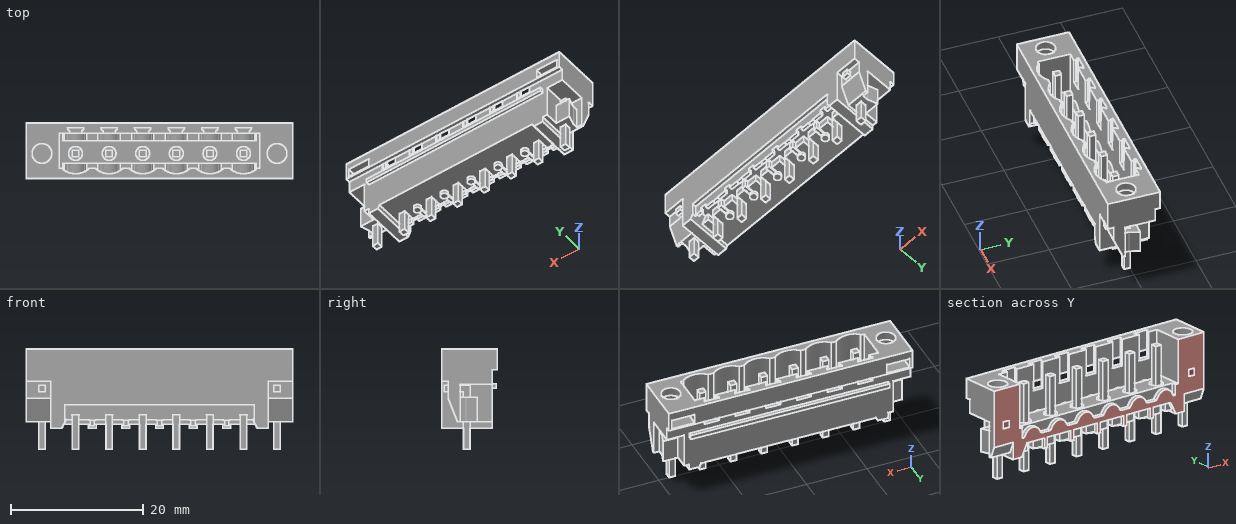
import cadquery as cq
import math


LENGTH = 40.3
DEPTH = 8.4
TOP = 15.2
POLES = 6
PITCH = 5.08
PIN_SIZE = 1.0
PIN_Y = 3.8
CONTACT_TOP = 14.2

REAR_Y = 7.65
LIP_BOTTOM = 12.0
FOOT_BOTTOM = 3.2
FLANGE_WIDTH = 3.7
FLANGE_FRONT_BOTTOM = 10.3
FLANGE_REAR_BOTTOM = 9.83
SCREW_HOLE_RADIUS = 1.5
NUT_SLOT_HALF_WIDTH = 1.9
NUT_SLOT_TOP = 13.78
NUT_SLOT_FLOOR = 12.25

BLOCK_FRONT_Y = 0.95
BLOCK_REAR_Y = 2.78
BLOCK_BOTTOM = 4.15
BLOCK_SLOPE_TOP = 7.75
BLOCK_SLOPE_Y = 2.4
BOSS_TOP = 7.9
BOSS_REAR_Y = 5.35
BOSS_BEND_Y = 3.65
BOSS_FRONT_INSET = 0.93
BOSS_REAR_INSET = 0.4
SHOULDER_INSET = 2.85

CAVITY_LENGTH = 30.35
CAVITY_FRONT_Y = 1.57
CAVITY_REAR_Y = 6.8
CAVITY_FLOOR = 8.0
SCALLOP_RADIUS = 3.05
GUTTER_LENGTH = 29.25
GUTTER_FLOOR = 6.3
RIB_FRONT_Y = 2.3
RIB_REAR_Y = 5.7
HUMP_HALF_WIDTH = 1.7
HUMP_CREST_RADIUS = 1.55
HUMP_SIDE_ANGLE = 57.0
COUNTERBORE_RADIUS = 1.05
COUNTERBORE_DEPTH = 0.5

GROOVE_NECK_WIDTH = 1.8
GROOVE_WIDTH = 2.4
GROOVE_NECK_Y = 7.13
GROOVE_FLARE_Y = 7.45
GROOVE_FLOOR = 10.9

FOOT_INSET = 5.4
FOOT_SLOPE_INSET = 6.05
FRONT_WALL_BOTTOM = 4.5
FLOOR_BOTTOM = 3.8
FLOOR_FRONT_Y = 2.2
RECESS_INSET = 5.85
RECESS_TOP = 6.73
RECESS_DEPTH = 0.65
FRONT_WALL_REAR_Y = 1.15
CHANNEL_CEILING = 5.25
POST_RADIUS = 0.6
WEB_WIDTH = 0.65
WEB_BOTTOM = 3.55
WEB_FRONT_Y = 1.65
WALL_TAB_WIDTH = 0.95
WALL_TAB_BOTTOM = 4.4

LEDGE_BOTTOM = 9.22
LEDGE_TOP = 9.95
LEDGE_REAR_Y = 8.25

END_LEG_TOP = 9.7
END_LEG_FRONT_Y = 0.35

HALF_LENGTH = LENGTH / 2
BODY_HALF = HALF_LENGTH - FLANGE_WIDTH
POLE_XS = [(i - (POLES - 1) / 2) * PITCH for i in range(POLES)]
GAP_XS = [x + PITCH / 2 for x in POLE_XS[:-1]]
END_PIN_X = (POLES + 1) / 2 * PITCH
END_PIN_XS = [-END_PIN_X, END_PIN_X]


def box(x0, x1, y0, y1, z0, z1):
    """Box between two opposite corners."""
    return cq.Workplane("XY").box(x1 - x0, y1 - y0, z1 - z0, centered=False).translate((x0, y0, z0))


def cylinder(x, y, radius, z0, z1):
    """Upright cylinder."""
    return cq.Workplane("XY").circle(radius).extrude(z1 - z0).translate((x, y, z0))


def square_pin(x, z0, z1):
    """Upright square bar on the pin line."""
    half = PIN_SIZE / 2
    return box(x - half, x + half, PIN_Y - half, PIN_Y + half, z0, z1)


def both_ends(left_part):
    """A left-end feature together with its mirror image at the right end."""
    return left_part.union(left_part.mirror("YZ"))


def outer_shell():
    """Solid outer form: body with overhanging rear lip, end flanges and rear ledge."""
    body = box(-BODY_HALF, BODY_HALF, 0, REAR_Y, FOOT_BOTTOM, TOP)
    lip = box(-HALF_LENGTH, HALF_LENGTH, 0, DEPTH, LIP_BOTTOM, TOP)
    ledge = box(-BODY_HALF, BODY_HALF, REAR_Y, LEDGE_REAR_Y, LEDGE_BOTTOM, LEDGE_TOP)
    return body.union(lip).union(ledge).union(both_ends(left_flange()))


def left_flange():
    """Flange block, sloped hold-down block and pin boss at the left end."""
    front = box(-HALF_LENGTH, -BODY_HALF, 0, BLOCK_REAR_Y, FLANGE_FRONT_BOTTOM, TOP)
    rear = box(-HALF_LENGTH, -BODY_HALF, BLOCK_FRONT_Y, REAR_Y, FLANGE_REAR_BOTTOM, TOP)
    hold_down = (
        cq.Workplane("YZ")
        .polyline([
            (BLOCK_FRONT_Y, FLANGE_FRONT_BOTTOM),
            (BLOCK_FRONT_Y, BLOCK_SLOPE_TOP),
            (BLOCK_SLOPE_Y, BLOCK_BOTTOM),
            (BLOCK_REAR_Y, BLOCK_BOTTOM),
            (BLOCK_REAR_Y, FLANGE_FRONT_BOTTOM),
        ])
        .close()
        .extrude(FLANGE_WIDTH)
        .translate((-HALF_LENGTH, 0, 0))
    )
    boss = (
        cq.Workplane("XY")
        .polyline([
            (-HALF_LENGTH + BOSS_FRONT_INSET, BLOCK_REAR_Y),
            (-HALF_LENGTH + BOSS_FRONT_INSET, BOSS_BEND_Y),
            (-HALF_LENGTH + BOSS_REAR_INSET, BOSS_REAR_Y),
            (-BODY_HALF, BOSS_REAR_Y),
            (-BODY_HALF, BLOCK_REAR_Y),
        ])
        .close()
        .extrude(BOSS_TOP - BLOCK_BOTTOM)
        .translate((0, 0, BLOCK_BOTTOM))
    )
    shoulder = box(-HALF_LENGTH + SHOULDER_INSET, -BODY_HALF, BLOCK_REAR_Y, REAR_Y, BLOCK_BOTTOM, TOP)
    return front.union(rear).union(hold_down).union(boss).union(shoulder)


def nut_pocket(x):
    """Screw hole through the flange top into a nut slot that opens to the rear."""
    hole = cylinder(x, PIN_Y, SCREW_HOLE_RADIUS, NUT_SLOT_FLOOR, TOP)
    slot = box(
        x - NUT_SLOT_HALF_WIDTH, x + NUT_SLOT_HALF_WIDTH,
        PIN_Y - NUT_SLOT_HALF_WIDTH, DEPTH,
        NUT_SLOT_FLOOR, NUT_SLOT_TOP,
    )
    return hole.union(slot)


def cavity_prism(length, z0):
    """Cavity outline of the given length, with one front scallop per pole, from z0 to the top."""
    prism = box(-length / 2, length / 2, CAVITY_FRONT_Y, CAVITY_REAR_Y, z0, TOP)
    lobe_limit = box(-GUTTER_LENGTH / 2, GUTTER_LENGTH / 2, 0, PIN_Y, z0, TOP)
    for x in POLE_XS:
        prism = prism.union(cylinder(x, PIN_Y, SCALLOP_RADIUS, z0, TOP).intersect(lobe_limit))
    return prism


def cavity():
    """Plug cavity: scalloped pocket, gutters beside a central rib, and a hump per pole."""
    rib = box(-HALF_LENGTH, HALF_LENGTH, RIB_FRONT_Y, RIB_REAR_Y, GUTTER_FLOOR, CAVITY_FLOOR)
    gutters = cavity_prism(GUTTER_LENGTH, GUTTER_FLOOR).cut(rib)
    for x in POLE_XS:
        gutters = gutters.cut(hump(x))
    return cavity_prism(CAVITY_LENGTH, CAVITY_FLOOR).union(gutters)


def hump(x):
    """Ridge across the gutters with sloped sides and a round crest."""
    angle = math.radians(HUMP_SIDE_ANGLE)
    tangent_x = HUMP_CREST_RADIUS * math.sin(angle)
    tangent_z = (HUMP_HALF_WIDTH - tangent_x) * math.tan(angle)
    crest_z = tangent_z + HUMP_CREST_RADIUS * (1 - math.cos(angle))
    return (
        cq.Workplane("XZ")
        .moveTo(-HUMP_HALF_WIDTH, 0)
        .lineTo(-tangent_x, tangent_z)
        .threePointArc((0, crest_z), (tangent_x, tangent_z))
        .lineTo(HUMP_HALF_WIDTH, 0)
        .close()
        .extrude(-CAVITY_REAR_Y)
        .translate((x, 0, GUTTER_FLOOR))
    )


def coding_groove(x):
    """Dovetail groove in the rear cavity wall; it breaks out below the rear lip."""
    half_neck = GROOVE_NECK_WIDTH / 2
    half_width = GROOVE_WIDTH / 2
    return (
        cq.Workplane("XY")
        .polyline([
            (x - half_neck, CAVITY_REAR_Y),
            (x - half_neck, GROOVE_NECK_Y),
            (x - half_width, GROOVE_FLARE_Y),
            (x - half_width, REAR_Y),
            (x + half_width, REAR_Y),
            (x + half_width, GROOVE_FLARE_Y),
            (x + half_neck, GROOVE_NECK_Y),
            (x + half_neck, CAVITY_REAR_Y),
        ])
        .close()
        .extrude(TOP - GROOVE_FLOOR)
        .translate((0, 0, GROOVE_FLOOR))
    )


def foot_gap(top, y0, y1):
    """Opening between the sloped inner sides of the feet, from y0 to y1."""
    slope = (FOOT_SLOPE_INSET - FOOT_INSET) / (FRONT_WALL_BOTTOM - FOOT_BOTTOM)
    half_bottom = HALF_LENGTH - FOOT_INSET
    half_top = half_bottom - slope * (top - FOOT_BOTTOM)
    return (
        cq.Workplane("XZ")
        .polyline([
            (-half_bottom, FOOT_BOTTOM),
            (-half_top, top),
            (half_top, top),
            (half_bottom, FOOT_BOTTOM),
        ])
        .close()
        .extrude(y0 - y1)
        .translate((0, y0, 0))
    )


def underside_hollow():
    """Space below the floor: front recess, notched front wall and the channel behind it."""
    half_recess = HALF_LENGTH - RECESS_INSET
    hollow = box(-half_recess, half_recess, 0, RECESS_DEPTH, FOOT_BOTTOM, RECESS_TOP)
    hollow = hollow.union(foot_gap(FRONT_WALL_BOTTOM, 0, FRONT_WALL_REAR_Y))
    hollow = hollow.union(foot_gap(CHANNEL_CEILING, FRONT_WALL_REAR_Y, FLOOR_FRONT_Y))
    hollow = hollow.union(foot_gap(FLOOR_BOTTOM, FLOOR_FRONT_Y, REAR_Y))
    for x in POLE_XS:
        hollow = hollow.union(front_notch(x))
    return hollow


def front_notch(x):
    """Notch through the front wall and the floor edge, as wide as the pin it exposes."""
    half = PIN_SIZE / 2
    return box(x - half, x + half, 0, PIN_Y - half, FOOT_BOTTOM, CHANNEL_CEILING)


def standoff(x):
    """Round standoff post, web and front wall tab below the gap between two poles."""
    half_web = WEB_WIDTH / 2
    half_tab = WALL_TAB_WIDTH / 2
    post = cylinder(x, PIN_Y, POST_RADIUS, FOOT_BOTTOM, FLOOR_BOTTOM)
    web = box(x - half_web, x + half_web, WEB_FRONT_Y, PIN_Y, WEB_BOTTOM, CHANNEL_CEILING)
    tab = box(
        x - half_tab, x + half_tab, RECESS_DEPTH, FRONT_WALL_REAR_Y, WALL_TAB_BOTTOM, FRONT_WALL_BOTTOM
    )
    return post.union(web).union(tab)


def make_contact(x):
    """Straight square contact pin through the cavity floor."""
    return square_pin(x, 0, CONTACT_TOP)


def make_end_pin(x):
    """Bent hold-down pin: upright leg and a bar that passes forward through the block."""
    half = PIN_SIZE / 2
    bar = box(x - half, x + half, END_LEG_FRONT_Y, PIN_Y + half, END_LEG_TOP - PIN_SIZE, END_LEG_TOP)
    return square_pin(x, 0, END_LEG_TOP).union(bar)


def make_housing(pins):
    """Insulating housing with a matching passage for every pin."""
    housing = outer_shell().cut(cavity()).cut(underside_hollow())
    for x in POLE_XS:
        housing = housing.cut(coding_groove(x))
        housing = housing.cut(
            cylinder(x, PIN_Y, COUNTERBORE_RADIUS, CAVITY_FLOOR - COUNTERBORE_DEPTH, CAVITY_FLOOR)
        )
    for x in GAP_XS:
        housing = housing.union(standoff(x))
    for x in END_PIN_XS:
        housing = housing.cut(nut_pocket(x))
    for pin in pins:
        housing = housing.cut(pin)
    return housing


contacts = [make_contact(x) for x in POLE_XS]
end_pins = [make_end_pin(x) for x in END_PIN_XS]
housing = make_housing(contacts + end_pins)

result = cq.Compound.makeCompound([
    housing.val(),
    *[contact.val() for contact in contacts],
    *[end_pin.val() for end_pin in end_pins],
])